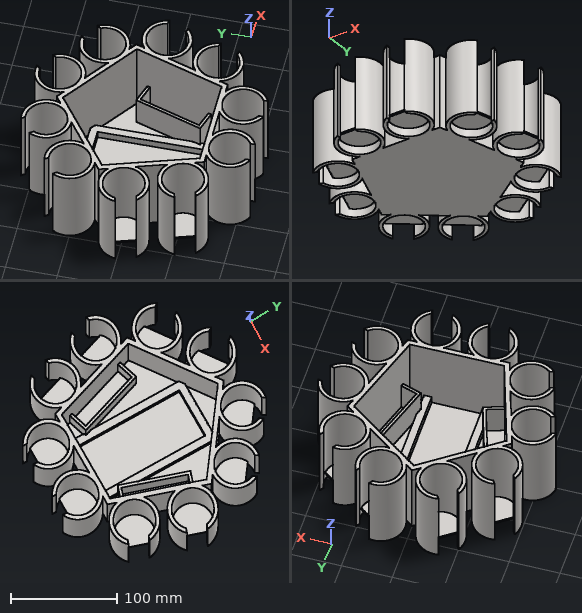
import cadquery as cq
import math

SIDES = 5
SIDE_LENGTH = 100.0
HEIGHT = 81.0
WALL = 5.0
FLOOR = 4.2
HALF_ANGLE = math.pi / SIDES
APOTHEM = SIDE_LENGTH / (2 * math.tan(HALF_ANGLE))
INNER_APOTHEM = APOTHEM - WALL

CUP_RADIUS = 20.0
CUP_WALL = 4.0
CUP_OFFSET = 28.0
CUP_DISTANCE = APOTHEM + CUP_RADIUS
CUP_OPENING = 20.0
CUP_FLOOR_BOTTOM = 9.0
CUP_FLOOR_THICKNESS = 2.0
CUP_FLOOR_REACH = 10.0

POCKET_WIDTH = 50.0
POCKET_LENGTH = 115.0
POCKET_BACK = POCKET_LENGTH - INNER_APOTHEM
RIM_WIDTH = 7.7
RIM_TOP = 12.0

BIN_LENGTH = 70.0
BIN_DEPTH = 20.5
BIN_WALL = 3.0
BIN_TOP = 35.0

WALL_STEP = 360.0 / SIDES
BIN_WALL_TURNS = (WALL_STEP, -WALL_STEP)


def turn(shape, angle):
    return shape.rotate((0, 0, 0), (0, 0, 1), angle)


def block(x_range, y_range, z_range):
    """Axis-aligned box between the given limits."""
    return (
        cq.Workplane("XY")
        .box(
            x_range[1] - x_range[0],
            y_range[1] - y_range[0],
            z_range[1] - z_range[0],
            centered=False,
        )
        .translate((x_range[0], y_range[0], z_range[0]))
    )


def pentagon(apothem, bottom, top):
    """Pentagonal prism with one flat side facing -Y."""
    radius = apothem / math.cos(HALF_ANGLE)
    first_corner = math.pi / 2
    corners = []
    for i in range(SIDES):
        angle = first_corner + 2 * HALF_ANGLE * i
        corners.append((radius * math.cos(angle), radius * math.sin(angle)))
    return cq.Workplane("XY").workplane(offset=bottom).polyline(corners).close().extrude(top - bottom)


def cup(x):
    """Open-fronted tube on the -Y wall with a raised, cut-off floor."""
    y = -CUP_DISTANCE
    disc_radius = CUP_RADIUS + CUP_WALL / 2
    outer_radius = CUP_RADIUS + CUP_WALL
    half_opening = CUP_OPENING / 2
    tube = cq.Workplane("XY").center(x, y).circle(outer_radius).circle(CUP_RADIUS).extrude(HEIGHT)
    opening = block((x - half_opening, x + half_opening), (y - outer_radius, y), (0, HEIGHT))
    floor_top = CUP_FLOOR_BOTTOM + CUP_FLOOR_THICKNESS
    disc = (
        cq.Workplane("XY")
        .workplane(offset=CUP_FLOOR_BOTTOM)
        .center(x, y)
        .circle(disc_radius)
        .extrude(CUP_FLOOR_THICKNESS)
    )
    floor_area = block(
        (x - CUP_RADIUS, x + CUP_RADIUS),
        (y - CUP_FLOOR_REACH, y + CUP_RADIUS),
        (CUP_FLOOR_BOTTOM, floor_top),
    )
    return tube.cut(opening).union(disc.intersect(floor_area))


def pocket_rim(tray_space):
    """Low U-shaped rim, open at the -Y wall and trimmed by the slanted walls."""
    half_width = POCKET_WIDTH / 2
    outer_half = half_width + RIM_WIDTH
    heights = (FLOOR, RIM_TOP)
    outer = block((-outer_half, outer_half), (-INNER_APOTHEM, POCKET_BACK + RIM_WIDTH), heights)
    pocket = block((-half_width, half_width), (-INNER_APOTHEM, POCKET_BACK), heights)
    return outer.cut(pocket).intersect(tray_space)


def side_bin():
    """Outer block and inner space of a bin against the inside of the -Y wall."""
    half_length = BIN_LENGTH / 2
    inner_half = half_length - BIN_WALL
    front = -INNER_APOTHEM + BIN_DEPTH
    heights = (FLOOR, BIN_TOP)
    outer = block((-half_length, half_length), (-INNER_APOTHEM, front), heights)
    space = block((-inner_half, inner_half), (-INNER_APOTHEM, front - BIN_WALL), heights)
    return outer, space


tray_space = pentagon(INNER_APOTHEM, FLOOR, HEIGHT)
result = pentagon(APOTHEM, 0, HEIGHT).cut(tray_space)

result = result.union(pocket_rim(tray_space))
bin_outer, bin_space = side_bin()
for angle in BIN_WALL_TURNS:
    result = result.union(turn(bin_outer, angle)).cut(turn(bin_space, angle))

for i in range(SIDES):
    for x in (-CUP_OFFSET, CUP_OFFSET):
        result = result.union(turn(cup(x), i * WALL_STEP))